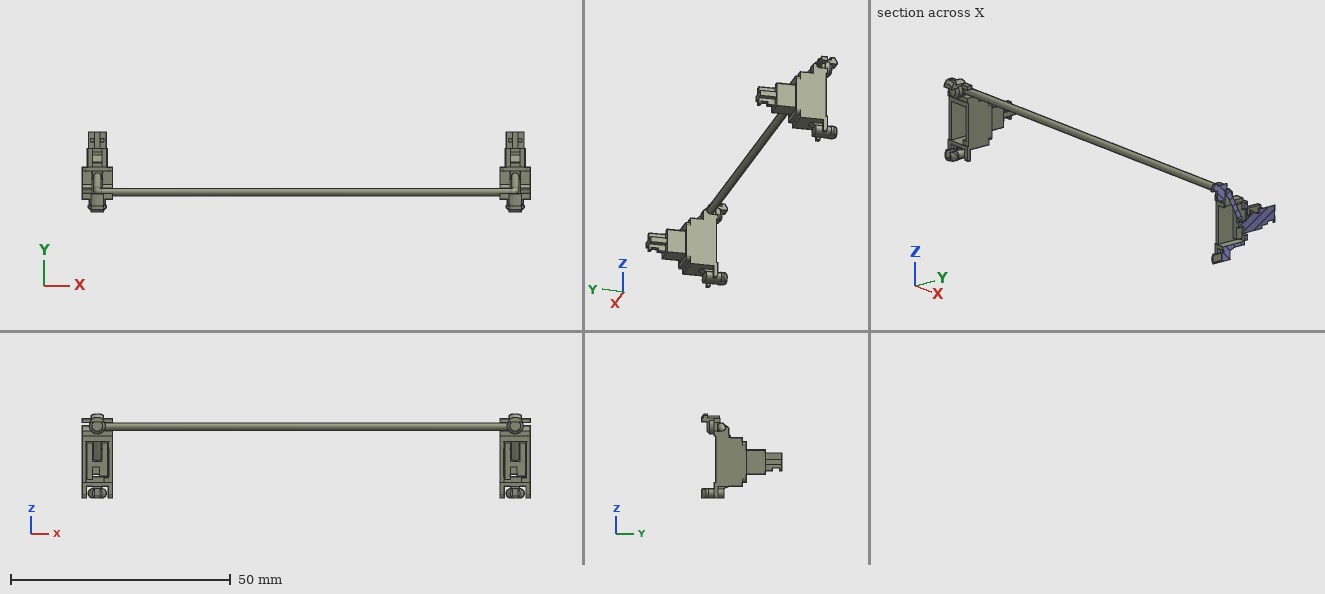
import cadquery as cq
import math


overall_length = 102.1
housing_width = 6.9
station_spacing = overall_length - housing_width
station_centres = (-station_spacing / 2, station_spacing / 2)

recess_depth = 0.3
shell_bottom = 2.7
shell_top = 13.8
shell_back = 6.4
flange_back = 7.4
flange_bottom = 3.6
flange_top = 12.9
flange_corner = 0.8
cavity_width = 5.2
ledge_width = 1.1
ledge_height = 1.0

support_top = 15.9
support_lip = 16.5
support_back = 3.4
plate_bottom = 14.1
plate_thickness = 1.3
seat_bottom = 15.2
bar_bottom = 17.2
bar_top = 18.1
neck_width = 2.8
arm_slot_width = 2.5

wire_diameter = 1.7
wire_y = 1.6
wire_z = 16.2
bend_radius = 0.9
arm_length = 8.2
arm_rise = 0.5
channel_width = 2.0

pin_diameter = 3.7
pin_reach = 2.9
upper_pin_z = 16.4
boss_reach = 1.6
boss_chamfer = 0.6
hook_radius = 2.2
hook_underside = 17.4
hook_back = 1.2
barb_radius = 2.8
barb_start = 2.2
barb_end = 1.5
hook_tip_radius = 1.9
leg_width = 1.0
leg_thickness = 0.9
leg_taper_height = 0.8
leg_taper_depth = 0.2
lower_pin_back = 2.2
lower_pin_top = 2.1
lower_lip_diameter = 4.2
lower_lip_start = 1.3
lower_lip_end = 1.8
lower_tip_diameter = 2.2
pin_slot_width = 1.3
pin_slot_floor = 0.4
pin_slot_back = 0.3
rib_width = 2.0

post_width = 4.7
post_bottom = 5.4
post_top = 11.0
post_back = 11.6
post_chamfer = 0.2
foot_front = 4.5
foot_back = 6.1
foot_bottom = 4.2
foot_short_bottom = 5.0
foot_top = 12.6
opening_gap = 0.2
opening_drop = 0.5
shelf_z = 8.4
wire_slot_width = 2.1
wire_slot_back = 6.9
foot_slot_width = 1.5
foot_slot_x = -0.3
foot_slot_top = 7.0
well_back = 10.8
well_ridge_top = 10.4
well_ridge_front = 8.3
well_ridge_back = 8.6
well_floor = 9.4
well_ramp_foot = 10.1
cross_size = 4.1
cross_thickness = 1.2
cross_back = 15.4
notch_depth = 0.6
notch_start = 13.3
notch_end = 14.9
dimple_diameter = 0.9
dimple_depth = 0.6
dimple_x = 1.1
dimple_y = 13.5


def block(width, y_range, z_range, x_centre=0.0):
    """Box centred on x_centre, between two Y and two Z limits."""
    depth = y_range[1] - y_range[0]
    height = z_range[1] - z_range[0]
    corner = (x_centre - width / 2, y_range[0], z_range[0])
    return cq.Workplane("XY").box(width, depth, height, centered=False).translate(corner)


def side_profile(points, width):
    """Solid of the given width, centred on x = 0, from an outline of (y, z) points."""
    return cq.Workplane("YZ").polyline(points).close().extrude(width / 2, both=True)


def turned_pin(profile, axis_z):
    """Solid of revolution about a Y axis at height axis_z, from (radius, y) points."""
    outline = [(0, profile[0][1]), *profile, (0, profile[-1][1])]
    return (
        cq.Workplane("XY").polyline(outline).close()
        .revolve(360, (0, 0, 0), (0, 1, 0))
        .translate((0, 0, axis_z))
    )


def make_shell():
    """Hollow box with the stem flange, the stem opening and a ledge in one bottom corner."""
    shell = block(housing_width, (recess_depth, shell_back), (shell_bottom, shell_top))
    flange = block(housing_width, (shell_back, flange_back), (flange_bottom, flange_top))
    flange = flange.edges("|Y").fillet(flange_corner)
    cavity = block(cavity_width, (0, shell_back), (flange_bottom, flange_top))
    opening = block(
        post_width + 2 * opening_gap,
        (shell_back, flange_back),
        (post_bottom - opening_drop, post_top + opening_gap),
    )
    ledge = block(
        ledge_width,
        (recess_depth, shell_back),
        (flange_bottom, flange_bottom + ledge_height),
        (cavity_width - ledge_width) / 2,
    )
    return shell.union(flange).cut(cavity).cut(opening).union(ledge)


def make_wire_support():
    """Block above the shell with a channel for the wire and a retaining bar over it."""
    channel_radius = channel_width / 2
    channel_back = wire_y + channel_radius
    channel_centre_z = seat_bottom + channel_radius
    arc_inset = channel_radius * math.sqrt(0.5)
    body = (
        cq.Workplane("YZ")
        .moveTo(0, plate_bottom)
        .lineTo(recess_depth, plate_bottom)
        .lineTo(recess_depth, shell_top)
        .lineTo(support_back, shell_top)
        .lineTo(support_back, support_top)
        .lineTo(channel_back, support_lip)
        .lineTo(channel_back, channel_centre_z)
        .threePointArc((wire_y + arc_inset, channel_centre_z - arc_inset), (wire_y, seat_bottom))
        .lineTo(0, seat_bottom)
        .close()
        .extrude(housing_width / 2, both=True)
    )
    neck = block(neck_width, (0, wire_y - wire_diameter / 2), (seat_bottom, bar_top))
    bar = block(housing_width, (0, plate_thickness), (bar_bottom, bar_top))
    return body.union(neck).union(bar)


def make_upper_pin():
    """Round boss with a barbed hook above it."""
    pin_radius = pin_diameter / 2
    boss = turned_pin(
        [
            (pin_radius - boss_chamfer, -boss_reach),
            (pin_radius, boss_chamfer - boss_reach),
            (pin_radius, 0),
        ],
        upper_pin_z,
    )
    hook = turned_pin(
        [
            (hook_tip_radius, -pin_reach),
            (barb_radius, -barb_start),
            (barb_radius, -barb_end),
            (hook_radius, -barb_end),
            (hook_radius, hook_back),
        ],
        upper_pin_z,
    )
    hook_space = block(neck_width, (-pin_reach, hook_back), (hook_underside, upper_pin_z + barb_radius))
    return boss.union(hook.intersect(hook_space))


def rounded_bar(width, front, back):
    """Bar along Y resting on z = 0, as tall as the lower pin and with half-round sides."""
    return (
        cq.Workplane("XZ", origin=(0, back, lower_pin_top / 2))
        .slot2D(width, lower_pin_top)
        .extrude(back - front)
    )


def make_lower_pin():
    """Slotted flat pin with half-round sides, a lip near its tapered tip and a rib to the shell."""
    shaft = rounded_bar(pin_diameter, -lower_lip_start, lower_pin_back)
    head_cone = turned_pin(
        [
            (lower_tip_diameter / 2, -pin_reach),
            (lower_lip_diameter / 2, -lower_lip_end),
            (lower_lip_diameter / 2, -lower_lip_start),
        ],
        lower_pin_top / 2,
    )
    head = rounded_bar(lower_lip_diameter, -pin_reach, -lower_lip_start).intersect(head_cone)
    slot = block(pin_slot_width, (-pin_reach, -pin_slot_back), (pin_slot_floor, lower_pin_top))
    rib = side_profile(
        [
            (recess_depth, lower_pin_top / 2),
            (lower_pin_back, lower_pin_top / 2),
            (lower_pin_back, lower_pin_top),
            (support_back, shell_bottom),
            (recess_depth, shell_bottom),
        ],
        rib_width,
    )
    return shaft.union(head).cut(slot).union(rib)


def make_housing():
    """Shell, wire support, pins and the two legs beside the lower pin."""
    housing = make_shell().union(make_wire_support()).union(make_upper_pin()).union(make_lower_pin())
    leg = side_profile(
        [
            (leg_taper_depth, 0),
            (leg_thickness, 0),
            (leg_thickness, flange_bottom),
            (0, flange_bottom),
            (0, leg_taper_height),
        ],
        leg_width,
    )
    for side in (-1, 1):
        leg_x = side * (housing_width - leg_width) / 2
        housing = housing.union(leg.translate((leg_x, 0, 0)))
    header = block(housing_width, (0, leg_thickness), (shell_bottom, flange_bottom))
    arm_slot = block(arm_slot_width, (wire_y - wire_diameter / 2, shell_back), (flange_top, bar_bottom))
    return housing.union(header).cut(arm_slot)


def make_post_well():
    """Cutter for the open well in the post, with a ramped ridge across its floor."""
    return side_profile(
        [
            (flange_back, post_top),
            (flange_back, well_floor),
            (well_ridge_front, well_floor),
            (well_ridge_front, well_ridge_top),
            (well_ridge_back, well_ridge_top),
            (well_ramp_foot, well_floor),
            (well_back, well_floor),
            (well_back, well_ridge_top),
            (post_back, well_ridge_top),
            (post_back, post_top),
        ],
        wire_slot_width,
    )


def make_stem():
    """Foot and post on one slider, ending in a cross for the key cap."""
    cross_z = (post_bottom + post_top) / 2
    cross_bottom = cross_z - cross_size / 2
    post = block(post_width, (foot_back, post_back), (post_bottom, post_top))
    post = post.edges("|Y and >Z").chamfer(post_chamfer)
    foot = block(post_width, (foot_front, foot_back), (foot_bottom, foot_top))
    wire_slot = block(wire_slot_width, (foot_front, wire_slot_back), (shelf_z, foot_top))
    foot_slot = block(
        foot_slot_width, (foot_front, foot_back), (foot_bottom, foot_slot_top), foot_slot_x
    )
    ledge_clearance = block(
        post_width / 2, (foot_front, foot_back), (foot_bottom, foot_short_bottom), post_width / 4
    )
    flat_arm = block(
        cross_size, (post_back, cross_back), (cross_z - cross_thickness / 2, cross_z + cross_thickness / 2)
    )
    upright_arm = block(
        cross_thickness, (post_back, cross_back), (cross_bottom, cross_bottom + cross_size)
    )
    notch = block(cross_thickness, (notch_start, notch_end), (cross_bottom, cross_bottom + notch_depth))
    stem = post.union(foot).union(flat_arm).union(upright_arm)
    stem = stem.cut(wire_slot).cut(foot_slot).cut(ledge_clearance).cut(make_post_well()).cut(notch)
    dimples = (
        cq.Workplane("XY", origin=(0, dimple_y, cross_z + cross_thickness / 2))
        .pushPoints([(-dimple_x, 0), (dimple_x, 0)])
        .circle(dimple_diameter / 2)
        .extrude(-dimple_depth)
    )
    return stem.cut(dimples)


def make_wire():
    """Round wire with a straight bar and a sloping arm at each end."""
    slope = math.hypot(arm_rise, 1)
    arm_direction = cq.Vector(0, arm_rise / slope, -1 / slope)
    bar_direction = cq.Vector(1, 0, 0)
    bend_plane = cq.Plane(
        origin=(0, wire_y, wire_z), xDir=bar_direction, normal=bar_direction.cross(arm_direction)
    )
    end_x = station_spacing / 2
    straight_x = end_x - bend_radius
    bend_inset = bend_radius * (1 - math.sqrt(0.5))
    path = (
        cq.Workplane(bend_plane)
        .moveTo(-end_x, arm_length)
        .lineTo(-end_x, bend_radius)
        .threePointArc((bend_inset - end_x, bend_inset), (-straight_x, 0))
        .lineTo(straight_x, 0)
        .threePointArc((end_x - bend_inset, bend_inset), (end_x, bend_radius))
        .lineTo(end_x, arm_length)
    )
    arm_end = bend_plane.toWorldCoords((-end_x, arm_length))
    end_plane = cq.Plane(origin=arm_end, xDir=bar_direction, normal=arm_direction.multiply(-1))
    return cq.Workplane(end_plane).circle(wire_diameter / 2).sweep(path)


wire = make_wire()
housing = make_housing()
stem = make_stem()

bodies = [wire.val()]
for centre in station_centres:
    bodies.append(housing.translate((centre, 0, 0)).solids().val())
    bodies.append(stem.translate((centre, 0, 0)).solids().val())

result = cq.Compound.makeCompound(bodies)